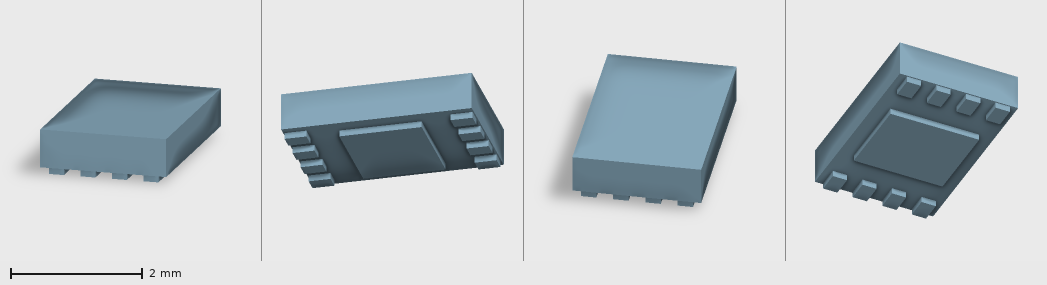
import cadquery as cq

housing_length = 3.0
housing_width = housing_length * 2 / 3
housing_height = housing_length / 5
contact_thickness = housing_height / 6

pads_per_row = 4
pad_pitch = housing_width / pads_per_row
pad_width = 0.24
pad_length = 0.345
pad_end_inset = 0.02
pad_row_y = housing_length / 2 - pad_end_inset - pad_length / 2

thermal_pad_width = pad_pitch * (pads_per_row - 1)
thermal_pad_length = 1.295


def block(width, length, height, x=0, y=0, bottom=0):
    """Rectangular block centred on (x, y), rising from z = bottom."""
    return cq.Workplane("XY").box(width, length, height, centered=(True, True, False)).translate((x, y, bottom))


def make_housing():
    return block(housing_width, housing_length, housing_height, bottom=contact_thickness)


def make_thermal_pad():
    return block(thermal_pad_width, thermal_pad_length, contact_thickness)


def make_terminal_pad(x, y):
    return block(pad_width, pad_length, contact_thickness, x, y)


housing = make_housing()
thermal_pad = make_thermal_pad()

terminal_pads = []
for row_y in (-pad_row_y, pad_row_y):
    for index in range(pads_per_row):
        pad_x = (index - (pads_per_row - 1) / 2) * pad_pitch
        terminal_pads.append(make_terminal_pad(pad_x, row_y))

result = cq.Compound.makeCompound([
    housing.val(),
    thermal_pad.val(),
    *[pad.val() for pad in terminal_pads],
])